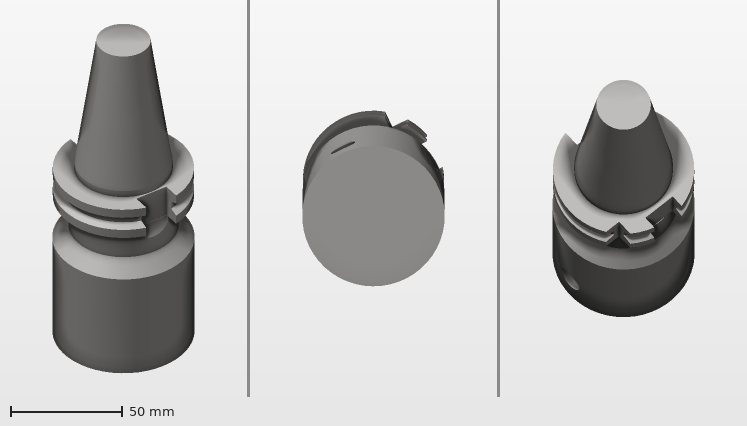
import cadquery as cq

total_height = 163.4
gauge_diameter = 44.5
gauge_height = 95.1
taper_ratio = 7 / 24
shank_top_diameter = gauge_diameter - taper_ratio * (total_height - gauge_height)

flange_diameter = 63.5
flange_bottom = 76.0
flange_top = 91.8
groove_root_diameter = 55.9
groove_root_width = 4.0
groove_mouth_width = 6.9
groove_center = (flange_bottom + flange_top) / 2

neck_diameter = 49.7
body_diameter = 64.0
body_top = 52.8
neck_bottom = body_top + (body_diameter - neck_diameter) / 2

slot_width = 16.2
left_slot_distance = 24.5
right_slot_distance = 22.7
runout_radius = 19.6
runout_center_height = 77.5

notch_distance = 18.3

side_hole_diameter = 12.3
side_hole_height = 16.3
side_hole_floor = 18.0


def revolved_body():
    root_low = groove_center - groove_root_width / 2
    root_high = groove_center + groove_root_width / 2
    mouth_low = groove_center - groove_mouth_width / 2
    mouth_high = groove_center + groove_mouth_width / 2
    profile = [
        (body_diameter, 0),
        (body_diameter, body_top),
        (neck_diameter, neck_bottom),
        (neck_diameter, flange_bottom),
        (flange_diameter, flange_bottom),
        (flange_diameter, mouth_low),
        (groove_root_diameter, root_low),
        (groove_root_diameter, root_high),
        (flange_diameter, mouth_high),
        (flange_diameter, flange_top),
        (gauge_diameter, flange_top),
        (gauge_diameter, gauge_height),
        (shank_top_diameter, total_height),
    ]
    outside = [(diameter / 2, height) for diameter, height in profile]
    outline = [(0, 0)] + outside + [(0, total_height)]
    return cq.Workplane("XZ").polyline(outline).close().revolve(360, (0, 0, 0), (0, 1, 0))


def flange_cutter(x_min, x_max, y_min, y_max):
    """Box through the full flange thickness."""
    return (
        cq.Workplane("XY", origin=(0, 0, flange_bottom))
        .moveTo(x_min, y_min)
        .lineTo(x_max, y_min)
        .lineTo(x_max, y_max)
        .lineTo(x_min, y_max)
        .close()
        .extrude(flange_top - flange_bottom)
    )


def slot_runout():
    """Disc-shaped end of the right slot, fading out on the neck below the flange."""
    return (
        cq.Workplane("XZ", origin=(right_slot_distance + runout_radius, 0, runout_center_height))
        .circle(runout_radius)
        .extrude(slot_width / 2, both=True)
    )


def side_hole():
    return (
        cq.Workplane("XZ", origin=(0, side_hole_floor, side_hole_height))
        .circle(side_hole_diameter / 2)
        .extrude(-body_diameter / 2)
    )


flange_radius = flange_diameter / 2
half_slot = slot_width / 2

result = (
    revolved_body()
    .cut(flange_cutter(-flange_radius, -left_slot_distance, -half_slot, half_slot))
    .cut(flange_cutter(right_slot_distance, flange_radius, -half_slot, half_slot))
    .cut(flange_cutter(-flange_radius, -notch_distance, notch_distance, flange_radius))
    .cut(slot_runout())
    .cut(side_hole())
)